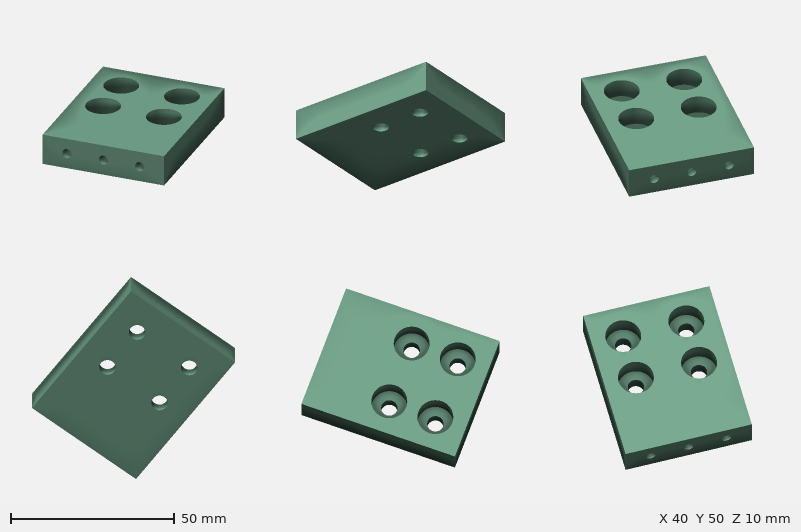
import cadquery as cq

width = 40.0
length = 50.0
thickness = 10.0

bolt_diameter = 5.0
counterbore_diameter = 11.0
counterbore_depth = 6.0
bolt_spacing_x = 20.0
bolt_spacing_y = 15.0
bolt_pattern_y = 7.5

edge_hole_diameter = 3.0
edge_hole_depth = 10.0
edge_hole_spacing = 12.0
edge_hole_count = 3


def make_plate():
    """Plain plate centred on the origin."""
    return cq.Workplane("XY").box(width, length, thickness)


def cut_bolt_holes(body):
    """Cut the two by two pattern of counterbored through holes."""
    return (
        body.faces(">Z")
        .workplane(origin=(0, bolt_pattern_y, 0))
        .rarray(bolt_spacing_x, bolt_spacing_y, 2, 2)
        .cboreHole(bolt_diameter, counterbore_diameter, counterbore_depth)
    )


def cut_edge_holes(body):
    """Cut the row of flat-bottomed holes into the -Y edge."""
    return (
        body.faces("<Y")
        .workplane(origin=(0, 0, 0))
        .rarray(edge_hole_spacing, 0.5, edge_hole_count, 1)
        .hole(edge_hole_diameter, edge_hole_depth)
    )


result = cut_edge_holes(cut_bolt_holes(make_plate())).val()